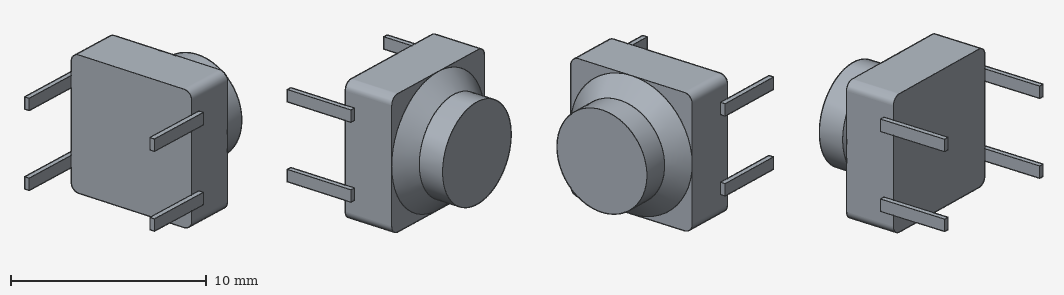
import cadquery as cq

body_width = 7.8
body_depth = 3.0
corner_radius = 0.5

cone_length = 1.0
button_diameter = 5.78
button_length = 1.5

pin_thickness = 0.3
pin_width = 0.7
pin_pitch = 4.5
pin_overlap = 0.6
pin_protrusion = 3.5


def make_body():
    """Rounded square block from Y = 0 to Y = body_depth."""
    block = cq.Workplane("XY").box(body_width, body_depth, body_width)
    block = block.edges("|Y").fillet(corner_radius)
    return block.translate((0, body_depth / 2, 0))


def make_button():
    """Cone and cylinder revolved about the Y axis."""
    button_radius = button_diameter / 2
    cone_end = body_depth + cone_length
    button_end = cone_end + button_length
    return (
        cq.Workplane("XY")
        .moveTo(0, body_depth)
        .lineTo(body_width / 2, body_depth)
        .lineTo(button_radius, cone_end)
        .lineTo(button_radius, button_end)
        .lineTo(0, button_end)
        .close()
        .revolve(axisStart=(0, 0, 0), axisEnd=(0, 1, 0))
    )


def make_pin(side, level):
    """Flat pin on the -X or +X side (side = -1 or 1) at height level."""
    pin_length = pin_overlap + pin_protrusion
    center_x = side * (body_width + pin_thickness) / 2
    center_y = pin_overlap - pin_length / 2
    pin = cq.Workplane("XY").box(pin_thickness, pin_length, pin_width)
    return pin.translate((center_x, center_y, level))


result = make_body().union(make_button())
for side in (-1, 1):
    for level in (-pin_pitch / 2, pin_pitch / 2):
        result = result.union(make_pin(side, level))